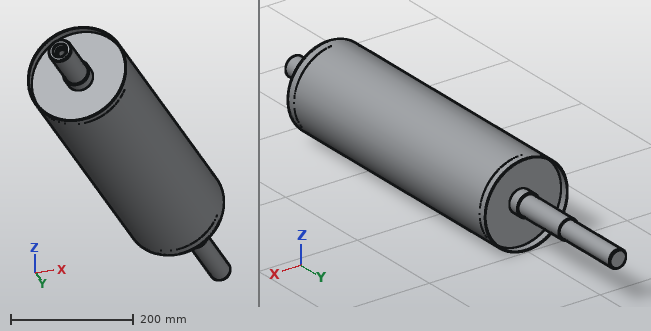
import cadquery as cq
import math

total_length = 900.0
near_shaft_length = 96.0
far_shaft_length = 256.0
far_journal_length = 139.0
collar_projection = 5.0
recess_depth = 16.0

roller_diameter = 168.0
recess_diameter = 165.0
collar_diameter = 45.0
shaft_diameter = 40.0
far_journal_diameter = 35.0

centre_mouth_diameter = 25.0
centre_cone_diameter = 22.5
centre_bore_diameter = 17.0
centre_core_diameter = 13.5
centre_bore_depth = 13.0
centre_core_depth = 42.0
centre_mouth_angle = 120
centre_cone_angle = 60
drill_point_angle = 118

shaft_end_chamfer = 2.0


def cone_depth(large_diameter, small_diameter, full_angle):
    """Axial length of a cone between two diameters."""
    return (large_diameter - small_diameter) / 2 / math.tan(math.radians(full_angle / 2))


centre_mouth_depth = cone_depth(centre_mouth_diameter, centre_cone_diameter, centre_mouth_angle)
centre_cone_depth = cone_depth(centre_cone_diameter, centre_bore_diameter, centre_cone_angle)
drill_tip_depth = centre_core_depth + cone_depth(centre_core_diameter, 0, drill_point_angle)

roller_start = near_shaft_length
roller_end = total_length - far_shaft_length
far_journal_start = total_length - far_journal_length


def cylinder(diameter, start, end):
    """Solid cylinder on the Y axis from start to end."""
    base = cq.Workplane("XZ", origin=(0, start, 0))
    return base.circle(diameter / 2).extrude(start - end)


def recessed_roller():
    """Roller drum with a shallow recess inside a thin rim at each end."""
    drum = cylinder(roller_diameter, roller_start, roller_end)
    near_recess = cylinder(recess_diameter, roller_start, roller_start + recess_depth)
    far_recess = cylinder(recess_diameter, roller_end - recess_depth, roller_end)
    return drum.cut(near_recess).cut(far_recess)


def stepped_shaft():
    """Through shaft with a collar across the drum and a thinner far journal, chamfered at both ends."""
    collar = cylinder(collar_diameter, roller_start - collar_projection, roller_end + collar_projection)
    shaft = cylinder(shaft_diameter, 0, far_journal_start)
    journal = cylinder(far_journal_diameter, far_journal_start, total_length)
    chamfered_shaft = shaft.faces("<Y").chamfer(shaft_end_chamfer)
    chamfered_journal = journal.faces(">Y").chamfer(shaft_end_chamfer)
    return chamfered_shaft.union(collar).union(chamfered_journal)


def centre_hole():
    """Cutter for the stepped centre hole, with two cones at its mouth and a drill point at its end."""
    profile = [
        (0, 0),
        (centre_mouth_diameter / 2, 0),
        (centre_cone_diameter / 2, centre_mouth_depth),
        (centre_bore_diameter / 2, centre_mouth_depth + centre_cone_depth),
        (centre_bore_diameter / 2, centre_bore_depth),
        (centre_core_diameter / 2, centre_bore_depth),
        (centre_core_diameter / 2, centre_core_depth),
        (0, drill_tip_depth),
    ]
    return cq.Workplane("XY").polyline(profile).close().revolve(360, (0, 0), (0, 1))


result = recessed_roller().union(stepped_shaft()).cut(centre_hole())